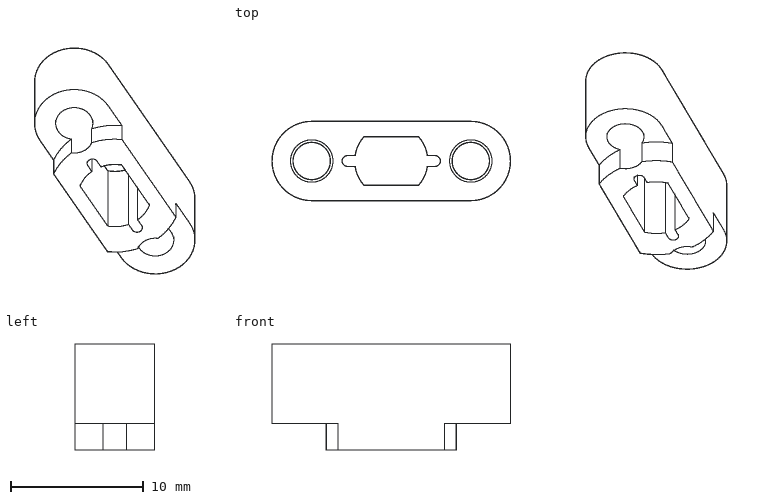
import cadquery as cq

body_length = 18.0
body_width = 6.0
body_height = 6.0

tongue_height = 2.0
tongue_radius = 5.0

screw_hole_diameter = 2.8
screw_countersink = 0.2
screw_spacing = body_length - body_width

opening_radius = 2.75
opening_width = 3.65
slot_length = 7.4
slot_width = 0.8

total_height = body_height + tongue_height


def round_with_flats(radius, width, height):
    """Upright cylinder on the XY plane, cut to the given width along Y."""
    cylinder = cq.Workplane("XY").circle(radius).extrude(height)
    slab = cq.Workplane("XY").rect(2 * radius, width).extrude(height)
    return cylinder.intersect(slab)


def make_body():
    """Obround block standing above the tongue."""
    base = cq.Workplane("XY").workplane(offset=tongue_height)
    return base.slot2D(body_length, body_width).extrude(body_height)


def make_tongue():
    """Tongue with arc ends and flat sides flush with the body."""
    return round_with_flats(tongue_radius, body_width, tongue_height)


def make_opening():
    """Through cutter for the central opening and its two slot ends."""
    window = round_with_flats(opening_radius, opening_width, total_height)
    slot = cq.Workplane("XY").slot2D(slot_length, slot_width).extrude(total_height)
    return window.union(slot)


def make_screw_holes():
    """Through cutters, flared at the top, which also scallop the tongue ends."""
    radius = screw_hole_diameter / 2
    centers = [(-screw_spacing / 2, 0), (screw_spacing / 2, 0)]
    holes = cq.Workplane("XY").pushPoints(centers).circle(radius).extrude(total_height)
    flares = (
        cq.Workplane("XY")
        .workplane(offset=total_height)
        .pushPoints(centers)
        .circle(radius + screw_countersink)
        .extrude(-screw_countersink, taper=45)
    )
    return holes.union(flares)


result = make_body().union(make_tongue()).cut(make_opening()).cut(make_screw_holes())